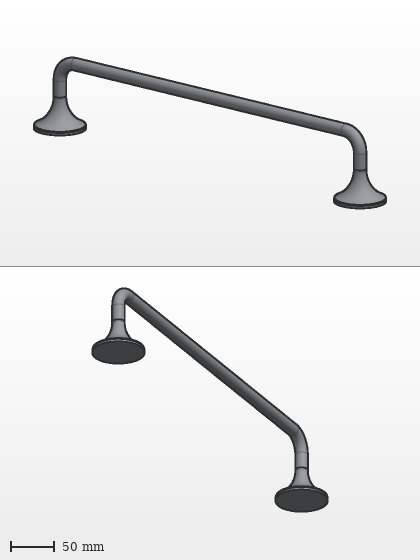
import cadquery as cq
import math

LENGTH = 510.0
HEIGHT = 88.0
FOOT_DIAMETER = 60.0
foot_radius = FOOT_DIAMETER / 2
foot_offset = LENGTH / 2 - foot_radius

BAR_DIAMETER = 15.0
BEND_RADIUS = 22.5
bar_radius = BAR_DIAMETER / 2
bar_axis_z = HEIGHT - bar_radius
bend_start_z = bar_axis_z - BEND_RADIUS

FOOT_HEIGHT = 39.0
NECK_HEIGHT = 1.5
RIM_HEIGHT = 4.5
RIM_STRAIGHT = 3.0
RIM_INSET = 0.5
flare_top_z = FOOT_HEIGHT - NECK_HEIGHT


def make_bar():
    """Round bar with a quarter bend and a short leg at each end."""
    bend_middle = BEND_RADIUS * (1 - math.sqrt(0.5))
    straight_end_x = foot_offset - BEND_RADIUS
    path = (
        cq.Workplane("XZ")
        .moveTo(-foot_offset, FOOT_HEIGHT)
        .lineTo(-foot_offset, bend_start_z)
        .threePointArc((-foot_offset + bend_middle, bar_axis_z - bend_middle), (-straight_end_x, bar_axis_z))
        .lineTo(straight_end_x, bar_axis_z)
        .threePointArc((foot_offset - bend_middle, bar_axis_z - bend_middle), (foot_offset, bend_start_z))
        .lineTo(foot_offset, FOOT_HEIGHT)
    )
    section = cq.Workplane("XY", origin=(-foot_offset, 0, FOOT_HEIGHT)).circle(bar_radius)
    return section.sweep(path)


def make_foot(x):
    """Trumpet-shaped foot: straight neck, tangent concave flare and thin rim with a steep bevel."""
    rim_top_radius = foot_radius - RIM_INSET
    flare_width = rim_top_radius - bar_radius
    flare_height = flare_top_z - RIM_HEIGHT
    flare_radius = (flare_width**2 + flare_height**2) / (2 * flare_width)
    flare_center_r = bar_radius + flare_radius
    end_angle = math.asin(flare_height / flare_radius)
    flare_middle = (
        flare_center_r - flare_radius * math.cos(end_angle / 2),
        flare_top_z - flare_radius * math.sin(end_angle / 2),
    )
    profile = (
        cq.Workplane("XZ")
        .lineTo(foot_radius, 0)
        .lineTo(foot_radius, RIM_STRAIGHT)
        .lineTo(rim_top_radius, RIM_HEIGHT)
        .threePointArc(flare_middle, (bar_radius, flare_top_z))
        .lineTo(bar_radius, FOOT_HEIGHT)
        .lineTo(0, FOOT_HEIGHT)
        .close()
    )
    foot = profile.revolve(360, (0, 0, 0), (0, 1, 0))
    return foot.translate((x, 0, 0))


bar = make_bar()
feet = [make_foot(x) for x in (-foot_offset, foot_offset)]

result = cq.Compound.makeCompound([bar.val(), *[foot.val() for foot in feet]])